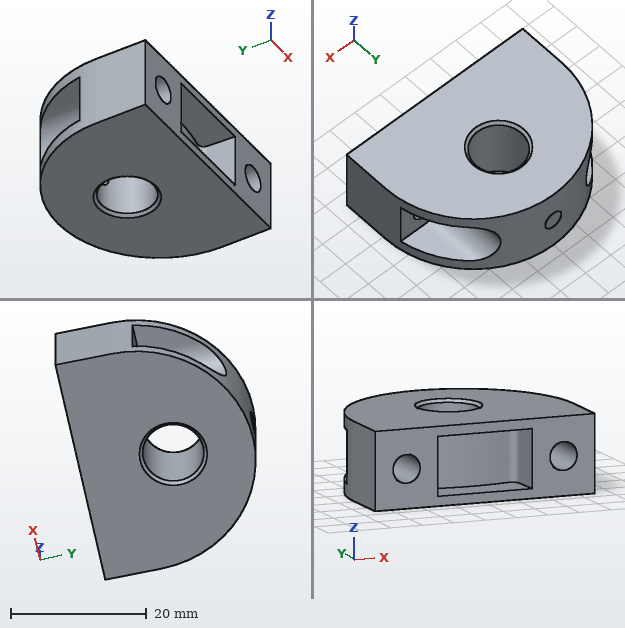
import cadquery as cq
import math

width = 35.0
height = 12.0
crown_radius = width / 2
crown_center_y = 8.5
depth = crown_center_y + crown_radius

bore_diameter = 9.0
bore_chamfer = 0.5
bore_y = 14.0

bolt_spacing = 25.0
bolt_diameter = 4.3
seat_width = 8.0
seat_y = 11.55

pocket_mouth_width = 15.0
pocket_back_width = 14.45
pocket_height = 9.0
pocket_depth = 5.0
pocket_back_radius = 29.05
pocket_corner_radius = 1.0

pin_diameter = 3.2
pin_length = 4.0


def make_blank():
    return (
        cq.Workplane("XY")
        .workplane(offset=-height / 2)
        .moveTo(-width / 2, 0)
        .lineTo(width / 2, 0)
        .lineTo(width / 2, crown_center_y)
        .threePointArc((0, depth), (-width / 2, crown_center_y))
        .close()
        .extrude(height)
    )


def cylinder_along_y(x, radius, start_y, end_y):
    return cq.Workplane(
        cq.Solid.makeCylinder(radius, end_y - start_y, cq.Vector(x, start_y, 0), cq.Vector(0, 1, 0))
    )


def make_bore():
    bore = (
        cq.Workplane("XY")
        .workplane(offset=-height / 2)
        .center(0, bore_y)
        .circle(bore_diameter / 2)
        .extrude(height)
    )
    for end, direction in ((height / 2, -1), (-height / 2, 1)):
        chamfer = cq.Solid.makeCone(
            bore_diameter / 2 + bore_chamfer,
            bore_diameter / 2,
            bore_chamfer,
            cq.Vector(0, bore_y, end),
            cq.Vector(0, 0, direction),
        )
        bore = bore.union(cq.Workplane(chamfer))
    return bore


def make_bolt_cut(side):
    bolt_x = side * bolt_spacing / 2
    hole = cylinder_along_y(bolt_x, bolt_diameter / 2, 0, depth)
    seat = cylinder_along_y(bolt_x, seat_width / 2, seat_y, depth)
    opening_center = (bolt_x + side * width / 4, (seat_y + depth) / 2, 0)
    opening = cq.Workplane("XY").box(width / 2, depth - seat_y, seat_width).translate(opening_center)
    return hole.union(seat).union(opening)


def make_pocket():
    half_back = pocket_back_width / 2
    corner_y = pocket_depth + pocket_back_radius - math.sqrt(pocket_back_radius**2 - half_back**2)
    return (
        cq.Workplane("XY")
        .workplane(offset=-pocket_height / 2)
        .moveTo(-pocket_mouth_width / 2, 0)
        .lineTo(pocket_mouth_width / 2, 0)
        .lineTo(half_back, corner_y)
        .threePointArc((0, pocket_depth), (-half_back, corner_y))
        .close()
        .extrude(pocket_height)
        .edges("|Z and >Y")
        .fillet(pocket_corner_radius)
    )


def make_pin():
    return cylinder_along_y(0, pin_diameter / 2, depth - pin_length, depth)


def make_housing():
    housing = make_blank().cut(make_bore()).cut(make_pocket())
    for side in (-1, 1):
        housing = housing.cut(make_bolt_cut(side))
    return housing.cut(cylinder_along_y(0, pin_diameter / 2, bore_y, depth))


housing = make_housing()
pin = make_pin()

result = cq.Compound.makeCompound([housing.val(), pin.val()])